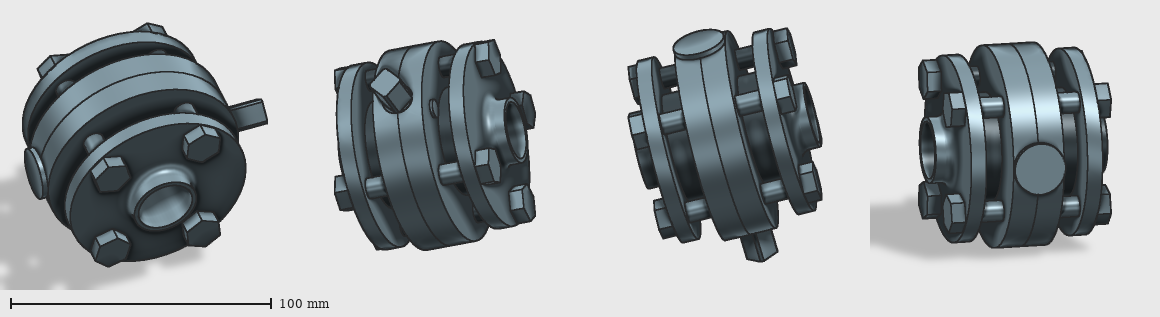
import cadquery as cq
import math


nozzle_end = 33.99
body_half_width = 10.0
flange_inner = 20.0
flange_thickness = 6.0
flange_outer = flange_inner + flange_thickness
head_height = 5.5

body_radius = 39.0
hub_radius = 21.0
flange_radius = 36.0
nozzle_radius = 12.7
bore_radius = 11.0
nozzle_fillet = 4.0
bore_depth = nozzle_end - body_half_width

bolt_circle_radius = 29.0
bolt_radius = 4.0
head_across_flats = 13.0
head_across_corners = head_across_flats / math.cos(math.radians(30))
stem_side_angle = 55
cap_side_angle = 135
bolt_angles = [stem_side_angle, cap_side_angle, -cap_side_angle, -stem_side_angle]

boss_radius = 3.55
boss_height = 1.1
boss_y = 26.8

shaft_radius = 6.1
pivot_radius = 4.7
stem_square = 9.5
stem_end = 52.4
cap_radius = body_half_width
cap_thickness = 2.15
cap_inner = -body_radius
shank_end = math.sqrt(body_radius**2 - shaft_radius**2)


def rod_x(radius, start, end):
    """Cylinder about the X axis between two X stations."""
    return cq.Workplane("YZ").workplane(offset=start).circle(radius).extrude(end - start)


def rod_y(radius, start, end):
    """Cylinder about the Y axis between two Y stations."""
    return cq.Workplane("XZ", origin=(0, start, 0)).circle(radius).extrude(start - end)


def make_shell():
    """Body disc, hub, flange and filleted nozzle, turned about X as one profile."""
    fillet_mid = nozzle_fillet * (1 - math.sqrt(0.5))
    return (
        cq.Workplane("XY")
        .lineTo(0, body_radius)
        .lineTo(body_half_width, body_radius)
        .lineTo(body_half_width, hub_radius)
        .lineTo(flange_inner, hub_radius)
        .lineTo(flange_inner, flange_radius)
        .lineTo(flange_outer, flange_radius)
        .lineTo(flange_outer, nozzle_radius + nozzle_fillet)
        .threePointArc(
            (flange_outer + fillet_mid, nozzle_radius + fillet_mid),
            (flange_outer + nozzle_fillet, nozzle_radius),
        )
        .lineTo(nozzle_end, nozzle_radius)
        .lineTo(nozzle_end, 0)
        .close()
        .revolve(360, (0, 0, 0), (1, 0, 0))
    )


def make_bolt(angle):
    """Shank between body and flange plus a hex head, one flat facing outward."""
    shank = rod_x(bolt_radius, body_half_width, flange_inner)
    head = (
        cq.Workplane("YZ")
        .workplane(offset=flange_outer)
        .polygon(6, head_across_corners)
        .extrude(head_height)
        .rotate((0, 0, 0), (1, 0, 0), 30)
    )
    return [
        piece.translate((0, bolt_circle_radius, 0)).rotate((0, 0, 0), (1, 0, 0), angle)
        for piece in (shank, head)
    ]


def make_housing_half():
    """Housing half on the +X side of the split plane."""
    half = make_shell()
    for angle in bolt_angles:
        for piece in make_bolt(angle):
            half = half.union(piece)

    boss = rod_x(boss_radius, body_half_width, body_half_width + boss_height)
    half = half.union(boss.translate((0, boss_y, 0)))

    bore = rod_x(bore_radius, nozzle_end - bore_depth, nozzle_end)
    shank_hole = rod_y(shaft_radius, 0, body_radius)
    pivot_hole = rod_y(pivot_radius, -body_radius, 0)
    return half.cut(bore).cut(shank_hole).cut(pivot_hole)


def make_shaft():
    """Round shank, pivot, square stem with rounded corners, and end cap."""
    shank = rod_y(shaft_radius, 0, shank_end)
    pivot = rod_y(pivot_radius, cap_inner, 0)
    stem_length = stem_end - shank_end
    square = (
        cq.Workplane("XZ", origin=(0, shank_end, 0))
        .transformed(rotate=(0, 0, 45))
        .rect(stem_square, stem_square)
        .extrude(-stem_length)
    )
    stem = square.intersect(rod_y(shaft_radius, shank_end, stem_end))
    cap = rod_y(cap_radius, cap_inner - cap_thickness, cap_inner)
    return shank.union(pivot).union(stem).union(cap)


right_half = make_housing_half()
left_half = right_half.mirror("YZ")
shaft = make_shaft()

result = cq.Compound.makeCompound(
    [body.solids().val() for body in (left_half, right_half, shaft)]
)